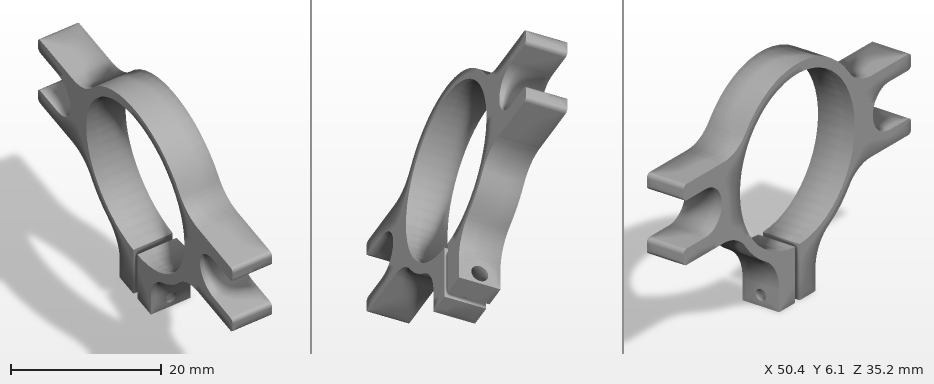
import cadquery as cq
import math

thickness = 6.1
bore_radius = 12.7
ring_radius = 14.2
blend_radius = 6.0

overall_length = 50.4
fork_height = 12.0
slot_width = 7.15
slot_bottom_x = 16.75
tip_radius = 0.65

lugs_width = 8.05
lugs_bottom_z = -21.0
split_width = 1.0

screw_height = 1.65
clearance_diameter = 2.45
tapped_diameter = 1.7

half_length = overall_length / 2
half_fork = fork_height / 2
half_lugs = lugs_width / 2
blend_orbit = ring_radius + blend_radius


def box(x_min, x_max, z_min, z_max):
    """Full-thickness block with the given X and Z limits."""
    return cq.Workplane("XY").box(x_max - x_min, thickness, z_max - z_min).translate(
        ((x_min + x_max) / 2, 0, (z_min + z_max) / 2)
    )


def cylinder(radius, x=0, z=0):
    """Full-thickness cylinder along Y."""
    return cq.Workplane("XZ").center(x, z).circle(radius).extrude(thickness / 2, both=True)


def blend_web(center_x, center_z, corner, straight_end):
    """Material between the ring and a straight edge, bounded by a concave arc tangent to both."""
    ring_end = (center_x * ring_radius / blend_orbit, center_z * ring_radius / blend_orbit)
    to_ring = math.atan2(ring_end[1] - center_z, ring_end[0] - center_x)
    to_straight = math.atan2(straight_end[1] - center_z, straight_end[0] - center_x)
    bisector = math.atan2(
        math.sin(to_ring) + math.sin(to_straight),
        math.cos(to_ring) + math.cos(to_straight),
    )
    arc_middle = (
        center_x + blend_radius * math.cos(bisector),
        center_z + blend_radius * math.sin(bisector),
    )
    return (
        cq.Workplane("XZ")
        .moveTo(*ring_end)
        .threePointArc(arc_middle, straight_end)
        .lineTo(*corner)
        .close()
        .extrude(thickness / 2, both=True)
    )


def fork_blend(side_x, side_z):
    center_z = half_fork + blend_radius
    center_x = math.sqrt(blend_orbit**2 - center_z**2)
    return blend_web(
        side_x * center_x,
        side_z * center_z,
        (side_x * math.sqrt(bore_radius**2 - half_fork**2), side_z * half_fork),
        (side_x * center_x, side_z * half_fork),
    )


def lug_blend(side_x):
    center_x = half_lugs + blend_radius
    center_z = -math.sqrt(blend_orbit**2 - center_x**2)
    return blend_web(
        side_x * center_x,
        center_z,
        (side_x * half_lugs, -math.sqrt(bore_radius**2 - half_lugs**2)),
        (side_x * half_lugs, center_z),
    )


def screw_hole(diameter, x_start, length):
    """Hole along +X through the middle of the lug thickness."""
    start = cq.Vector(x_start, 0, lugs_bottom_z + screw_height)
    return cq.Workplane(cq.Solid.makeCylinder(diameter / 2, length, start, cq.Vector(1, 0, 0)))


fork_bar = box(-half_length, half_length, -half_fork, half_fork)
slot_radius = slot_width / 2
slot_center_x = slot_bottom_x + slot_radius
for side in (-1, 1):
    mouth = sorted((side * slot_center_x, side * half_length))
    fork_bar = fork_bar.cut(box(*mouth, -slot_radius, slot_radius))
    fork_bar = fork_bar.cut(cylinder(slot_radius, side * slot_center_x))
fork_bar = fork_bar.edges("|Y and (<X or >X)").fillet(tip_radius)

body = cylinder(ring_radius).union(fork_bar)
body = body.union(box(-half_lugs, half_lugs, lugs_bottom_z, 0))
for side in (-1, 1):
    body = body.union(lug_blend(side))
    for side_z in (-1, 1):
        body = body.union(fork_blend(side, side_z))

body = body.cut(cylinder(bore_radius))
body = body.cut(box(-split_width / 2, split_width / 2, lugs_bottom_z, 0))
body = body.cut(screw_hole(clearance_diameter, -half_lugs, half_lugs))
body = body.cut(screw_hole(tapped_diameter, 0, half_lugs))

result = body